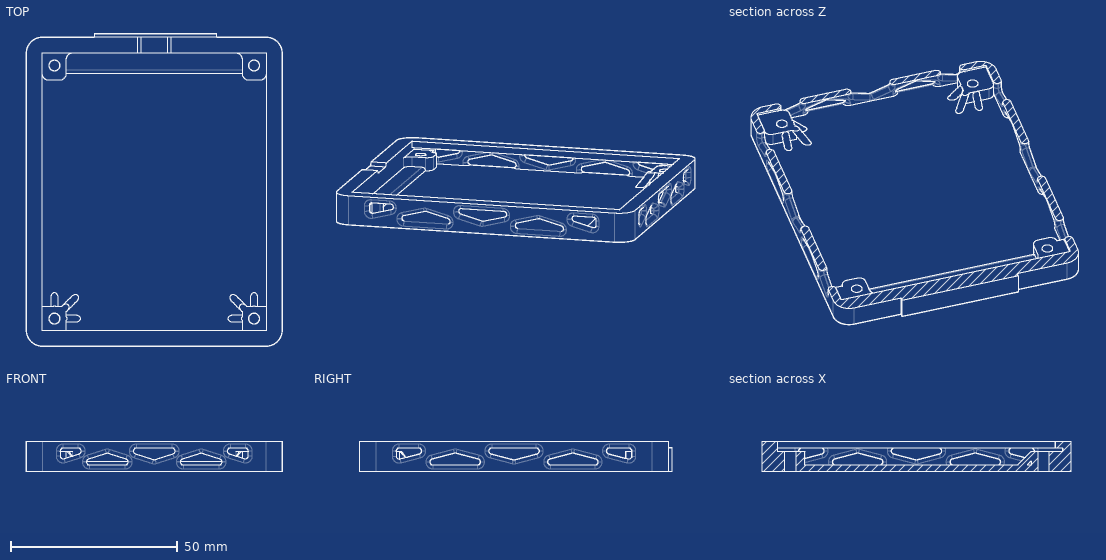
import cadquery as cq
import math

length_x = 77.0
length_y = 93.0
height = 9.0
corner_radius = 5.0
rim_width = 4.8
floor_top = 2.0
rim_underside = height - floor_top

thin_wall = 2.5

total_length_y = 94.0
label_depth = total_length_y - length_y
label_width = 36.7
label_height = 7.1
label_center_x = 0.4

boss_top = 6.0
hole_diameter = 3.2
hole_spacing_x = 60.0
front_hole_inset_y = 8.4
rear_hole_inset_y = 8.6
boss_reach = 12.0
rear_boss_reach_y = 13.0
rear_boss_web_reach_y = 11.0
boss_rounding = 2.0

rib_diameter = 2.2
straight_rib_reach = 7.8
diagonal_rib_reach = 9.9

ledge_top = 3.0
ledge_reach_y = 11.0

notch_depth = 1.0
notch_floor_width = 8.1
notch_top_width = notch_floor_width + 2 * notch_depth

window_height = 3.6
window_side_height = 1.6
window_corner_radius = 0.8
window_mouth_rounding = 1.2
front_window_half_width = 6.2
front_window_pitch = 14.1
side_window_half_width = 7.5
side_window_pitch = 17.7

rib_radius = rib_diameter / 2
half_x = length_x / 2
half_y = length_y / 2
inner_x = half_x - rim_width
inner_y = half_y - rim_width
undercut_x = half_x - thin_wall
undercut_y = half_y - thin_wall
hole_x = hole_spacing_x / 2
rear_hole_y = half_y - rear_hole_inset_y
front_hole_y = -half_y + front_hole_inset_y


def block(x_range, y_range, z_range):
    """Axis-aligned box between the given limits."""
    size = [high - low for low, high in (x_range, y_range, z_range)]
    corner = (x_range[0], y_range[0], z_range[0])
    return cq.Workplane("XY").box(*size, centered=False).translate(corner)


def both_sides(solid):
    """The solid joined with its mirror image across X = 0."""
    return solid.union(solid.mirror("YZ"))


def make_outer_wall():
    """Thin wall all round, over the full height."""
    outside = cq.Workplane("XY").rect(length_x, length_y).extrude(height)
    outside = outside.edges("|Z").fillet(corner_radius)
    return outside.cut(block((-undercut_x, undercut_x), (-undercut_y, undercut_y), (0, height)))


def make_core():
    """Floor, rim and thick +Y wall; floor and rim reach the middle of the thin wall to meet the windows."""
    overlap = thin_wall / 2
    filling = cq.Workplane("XY").rect(length_x - 2 * overlap, length_y - 2 * overlap).extrude(height)
    filling = filling.edges("|Z").fillet(corner_radius - overlap)
    opening = block((-inner_x, inner_x), (-inner_y, inner_y), (floor_top, height))
    undercut = block((-half_x, half_x), (-half_y, inner_y), (floor_top, rim_underside))
    return filling.cut(opening).cut(undercut)


def window_outlines(half_width, pitch):
    """Five windows in a row, point down and point up by turns, with half windows at the ends."""
    low = floor_top
    shoulder = low + window_side_height
    tip = low + window_height
    half_up = [(0, low), (half_width, low), (half_width, shoulder), (0, tip)]
    half_down = [(u, height - z) for u, z in half_up]
    point_up = half_up[1:] + [(-half_width, shoulder), (-half_width, low)]
    point_down = [(u, height - z) for u, z in point_up]

    def shift(outline, center):
        return [(u + center, z) for u, z in outline]

    left = [shift(half_down, -2 * pitch), shift(point_up, -pitch)]
    right = [[(-u, z) for u, z in outline] for outline in left]
    return left + [point_down] + right


def cut_windows(body, half_width, pitch, face_distance, turn):
    """Cut a row of windows through the wall lying at -Y before a turn about Z; round both their mouths."""
    body = body.rotate((0, 0, 0), (0, 0, 1), -turn)
    for outline in window_outlines(half_width, pitch):
        tunnel = cq.Workplane("XZ", origin=(0, -face_distance, 0)).polyline(outline).close().extrude(-thin_wall)
        tunnel = tunnel.edges("|Y").fillet(window_corner_radius)
        body = body.cut(tunnel)
        window_start = min(u for u, z in outline)
        window_end = max(u for u, z in outline)
        window_edges = cq.selectors.BoxSelector(
            (window_start, -face_distance - thin_wall, floor_top / 2),
            (window_end, -face_distance + 2 * thin_wall, height - floor_top / 2),
        )
        body = body.edges(window_edges).edges("not |Y").fillet(window_mouth_rounding)
    return body.rotate((0, 0, 0), (0, 0, 1), turn)


def make_ledge():
    radius = ledge_top - floor_top
    foot_y = half_y - ledge_reach_y
    bend = radius * math.sqrt(0.5)
    profile = (
        cq.Workplane("YZ", origin=(-inner_x, 0, 0))
        .moveTo(inner_y, floor_top)
        .lineTo(foot_y, floor_top)
        .threePointArc((foot_y + radius - bend, floor_top + bend), (foot_y + radius, ledge_top))
        .lineTo(inner_y, ledge_top)
        .close()
    )
    return profile.extrude(2 * inner_x)


def make_rear_boss():
    """Boss at -X, +Y: rounded free corners, a concave blend into the +Y wall, and a web to the side wall."""
    edge_x = -half_x + boss_reach
    edge_y = half_y - rear_boss_reach_y
    levels = (floor_top, boss_top)
    boss = block((-inner_x, edge_x), (edge_y, inner_y), levels)
    boss = boss.edges("|Z and <Y").fillet(boss_rounding)
    web = block((-undercut_x, -hole_x), (half_y - rear_boss_web_reach_y, inner_y), levels)
    blend = block((edge_x, edge_x + boss_rounding), (inner_y - boss_rounding, inner_y), levels)
    hollow = cq.Workplane("XY").circle(boss_rounding).extrude(height)
    hollow = hollow.translate((edge_x + boss_rounding, inner_y - boss_rounding, 0))
    return boss.union(web).union(blend.cut(hollow))


def make_rib(angle, reach):
    """Round bar falling at 45 degrees from a front boss to the floor, heading away from the hole."""
    direction = cq.Vector(math.cos(math.radians(angle)), math.sin(math.radians(angle)), -1)
    axis_reach = reach - rib_radius * math.sqrt(2)
    foot = cq.Vector(
        -hole_x + axis_reach * direction.x,
        front_hole_y + axis_reach * direction.y,
        floor_top,
    )
    start = foot - direction.normalized() * (2 * height)
    bar = cq.Solid.makeCylinder(rib_radius, 4 * height, start, direction)
    room = block((-inner_x, inner_x), (-inner_y, inner_y), (floor_top, boss_top))
    return room.intersect(cq.Workplane(bar))


def make_front_boss():
    """Boss at -X, -Y, filling the undercut corner, with its two wall-side corners rounded."""
    edge_x = -half_x + boss_reach
    edge_y = -half_y + boss_reach
    boss = block((-undercut_x, edge_x), (-undercut_y, edge_y), (floor_top, boss_top))
    boss = boss.edges("|Z and ((<X and >Y) or (>X and <Y))").fillet(boss_rounding)
    for angle, reach in ((0, straight_rib_reach), (45, diagonal_rib_reach), (90, straight_rib_reach)):
        boss = boss.union(make_rib(angle, reach))
    return boss


def make_notch():
    profile = [
        (-notch_floor_width / 2, height - notch_depth),
        (notch_floor_width / 2, height - notch_depth),
        (notch_top_width / 2, height),
        (-notch_top_width / 2, height),
    ]
    return cq.Workplane("XZ", origin=(0, half_y, 0)).polyline(profile).close().extrude(rim_width)


def make_label_panel():
    left = label_center_x - label_width / 2
    return block((left, left + label_width), (half_y, half_y + label_depth), (0, label_height))


tray = make_outer_wall()
tray = cut_windows(tray, front_window_half_width, front_window_pitch, half_y, 0)
for side_turn in (90, -90):
    tray = cut_windows(tray, side_window_half_width, side_window_pitch, half_x, side_turn)
tray = tray.union(make_core())
tray = tray.cut(make_notch())

tray = tray.union(make_ledge())
tray = tray.union(both_sides(make_rear_boss()))
tray = tray.union(both_sides(make_front_boss()))
tray = tray.union(make_label_panel())

hole_places = [(x, y) for x in (-hole_x, hole_x) for y in (front_hole_y, rear_hole_y)]
holes = cq.Workplane("XY").pushPoints(hole_places).circle(hole_diameter / 2).extrude(height)
result = tray.cut(holes).translate((0, -label_depth / 2, 0))